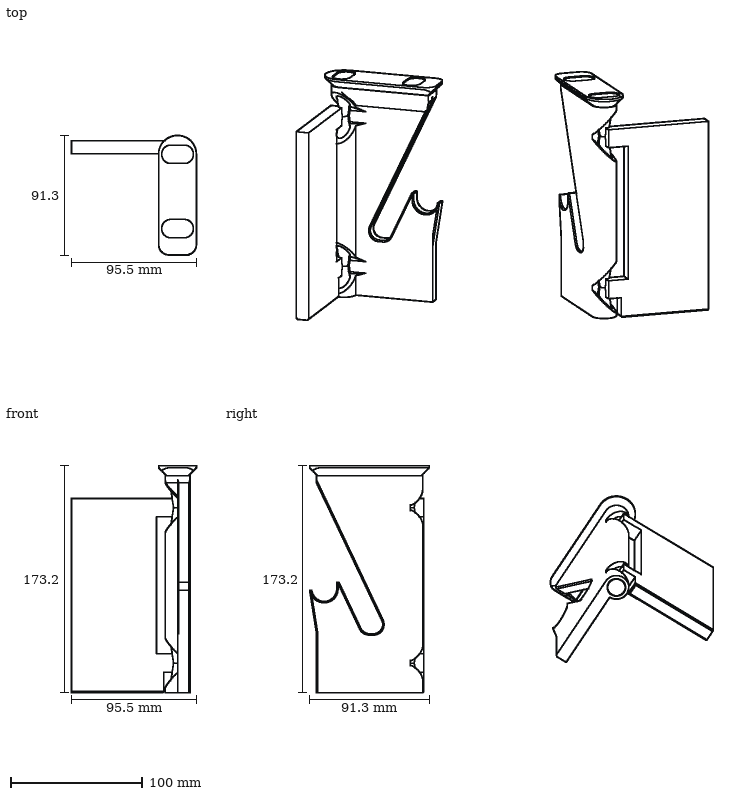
import cadquery as cq
import math


total_height = 173.2
edge_chamfer = 1.0

cap_radius = 14.47
cap_end_y = -76.84
cap_rim_height = 1.7
cap_height = 7.6
cap_corner_radius = 8.0
cap_bottom_z = total_height - cap_height

oval_length = 24.3
oval_width = 14.0
oval_depth = 0.9
oval_places_y = [0.0, -56.7]

barrel_radius = 9.5
pin_neck_radius = 3.03
pin_end_radius = 13.3 / 2
pin_clearance = 0.3
flange_clearance = 1.0

tab_height = 14.2
lower_tab_bottom_z = 15.6
tab_spacing = 118.5
lower_tab_middle_z = lower_tab_bottom_z + tab_height / 2
tab_middles_z = [lower_tab_middle_z, lower_tab_middle_z + tab_spacing]
pin_half_length = lower_tab_middle_z

plate_left_x = -81.0
plate_front_y = 0.3
plate_thickness = 10.0
plate_height = tab_middles_z[1] + tab_height / 2
window_left_x = -16.0
notch_left_x = -10.4

gap_half_height = 10.5
gap_turn = math.radians(20.0)
gap_reach = 52.0
flange_half_height = 4.5

arm_thickness = barrel_radius
arm_end_y = -71.5
flare_radius = 10.0
flare_bottom_z = 150.0

slot_radius = 14.0 / 2
slot_bottom_z = 45.0
slot_bottom_y = [-28.0, -31.4]
slot_tilt = math.radians(25.4)
slot_reach = 130.0

hook_radius = 9.5
hook_y = -65.7
hook_z = 79.2
hook_tip_z = 84.2
lip_tip_z = 78.3
lip_foot_z = slot_bottom_z


def hourglass(middle_z, gap):
    """Double cone around the hinge axis, wider than the pin by the given gap."""
    neck = pin_neck_radius + gap
    end = pin_end_radius + gap
    return (
        cq.Workplane("XZ")
        .moveTo(0, middle_z - pin_half_length)
        .lineTo(end, middle_z - pin_half_length)
        .lineTo(neck, middle_z)
        .lineTo(end, middle_z + pin_half_length)
        .lineTo(0, middle_z + pin_half_length)
        .close()
        .revolve(360, (0, 0, 0), (0, 1, 0))
    )


def plate():
    """Flat plate whose two tabs reach the hinge axis and carry the pins."""
    tab_bottom = lower_tab_bottom_z
    window_bottom = tab_bottom + tab_height
    window_top = plate_height - tab_height
    body = (
        cq.Workplane("XZ", origin=(0, plate_front_y, 0))
        .polyline(
            [
                (plate_left_x, 0),
                (notch_left_x, 0),
                (notch_left_x, tab_bottom),
                (0, tab_bottom),
                (0, window_bottom),
                (window_left_x, window_bottom),
                (window_left_x, window_top),
                (0, window_top),
                (0, plate_height),
                (plate_left_x, plate_height),
            ]
        )
        .close()
        .extrude(-plate_thickness)
    )
    body = body.faces("<Z").edges("|X or >X").chamfer(edge_chamfer)
    for middle_z in tab_middles_z:
        body = body.union(hourglass(middle_z, 0))
    return body


def cap_bar():
    """Upright bar with one round end, the outer shape of the cap."""
    return (
        cq.Workplane("XY", origin=(0, 0, cap_bottom_z))
        .moveTo(-cap_radius, 0)
        .threePointArc((0, cap_radius), (cap_radius, 0))
        .lineTo(cap_radius, cap_end_y)
        .lineTo(-cap_radius, cap_end_y)
        .close()
        .extrude(cap_height)
    )


def cap():
    """Bar with a sloped underside, rounded corners and two oval recesses."""
    sloped = cap_bar().faces("<Z").chamfer(cap_height - cap_rim_height)
    rounded = cap_bar().edges("|Z and <Y").fillet(cap_corner_radius)
    ovals = (
        cq.Workplane("XY", origin=(0, 0, total_height))
        .pushPoints([(0, y) for y in oval_places_y])
        .slot2D(oval_length, oval_width)
        .extrude(-oval_depth)
    )
    return sloped.intersect(rounded).cut(ovals)


def slot_outline(plane):
    """Tilted slot with a short flat bottom, running on upwards out of the arm."""
    near_y, far_y = slot_bottom_y
    centre_z = slot_bottom_z + slot_radius
    across = (slot_radius * math.cos(slot_tilt), slot_radius * math.sin(slot_tilt))
    along = (-slot_reach * math.sin(slot_tilt), slot_reach * math.cos(slot_tilt))
    near_side = (near_y + across[0], centre_z + across[1])
    far_side = (far_y - across[0], centre_z - across[1])
    near_angle = (slot_tilt - math.pi / 2) / 2
    far_angle = near_angle - math.pi / 2
    near_middle = (
        near_y + slot_radius * math.cos(near_angle),
        centre_z + slot_radius * math.sin(near_angle),
    )
    far_middle = (
        far_y + slot_radius * math.cos(far_angle),
        centre_z + slot_radius * math.sin(far_angle),
    )
    return (
        plane.moveTo(near_side[0] + along[0], near_side[1] + along[1])
        .lineTo(*near_side)
        .threePointArc(near_middle, (near_y, slot_bottom_z))
        .lineTo(far_y, slot_bottom_z)
        .threePointArc(far_middle, far_side)
        .lineTo(far_side[0] + along[0], far_side[1] + along[1])
        .close()
    )


def hook_outline(plane):
    """Round seat of the hook, open upwards."""
    hook_top_z = hook_tip_z + edge_chamfer
    return (
        plane.moveTo(hook_y + hook_radius, hook_top_z)
        .lineTo(hook_y + hook_radius, hook_z)
        .threePointArc((hook_y, hook_z - hook_radius), (hook_y - hook_radius, hook_z))
        .lineTo(hook_y - hook_radius, hook_top_z)
        .close()
    )


def chamfered_cut(arm_body, outline):
    """Cut an outline through the arm and chamfer both mouths of the cut."""
    flare_side_x = -2 * barrel_radius
    through = outline(cq.Workplane("YZ", origin=(flare_side_x, 0, 0))).extrude(
        arm_thickness - 2 * flare_side_x
    )
    mouths = [
        outline(cq.Workplane("YZ", origin=(face_x, 0, 0)))
        .offset2D(edge_chamfer, "intersection")
        .extrude(inward * edge_chamfer, taper=45)
        for face_x, inward in [(0, 1), (arm_thickness, -1)]
    ]
    for tool in [through, *mouths]:
        arm_body = arm_body.cut(tool)
    return arm_body


def arm():
    """Flat arm below the cap, with its slot and hook."""
    slot_middle_y = sum(slot_bottom_y) / 2
    middle_z = slot_bottom_z + slot_radius
    tip_y = slot_middle_y - (hook_tip_z - middle_z) * math.tan(slot_tilt)
    end_z = middle_z + (slot_middle_y - arm_end_y) / math.tan(slot_tilt)
    body = (
        cq.Workplane("YZ")
        .polyline(
            [
                (0, 0),
                (arm_end_y, 0),
                (arm_end_y, lip_foot_z),
                (cap_end_y, lip_tip_z),
                (hook_y, lip_tip_z),
                (hook_y, hook_tip_z),
                (tip_y, hook_tip_z),
                (arm_end_y, end_z),
                (arm_end_y, cap_bottom_z),
                (0, cap_bottom_z),
            ]
        )
        .close()
        .extrude(arm_thickness)
    )
    lip_middle = ((arm_end_y + cap_end_y) / 2, (lip_foot_z + lip_tip_z) / 2)
    for edge_point in [(0, *lip_middle), (arm_thickness, *lip_middle)]:
        body = body.edges(cq.NearestToPointSelector(edge_point)).chamfer(edge_chamfer)
    end_edge = cq.NearestToPointSelector((arm_thickness, arm_end_y, lip_foot_z / 2))
    body = body.edges(end_edge).chamfer(edge_chamfer)
    body = body.union(flare())
    for outline in [slot_outline, hook_outline]:
        body = chamfered_cut(body, outline)
    return body


def flare():
    """Widening of the arm up to the cap: a slope of 45 degrees rounded into an upright side."""
    turn = math.radians(45.0)
    corner_z = flare_bottom_z + barrel_radius
    tangent = flare_radius * math.tan(turn / 2)
    slope_end = tangent * math.sin(turn)
    arc_centre = (flare_radius - barrel_radius, corner_z + tangent)
    arc_middle = (
        arc_centre[0] - flare_radius * math.cos(turn / 2),
        arc_centre[1] - flare_radius * math.sin(turn / 2),
    )
    return (
        cq.Workplane("XZ")
        .moveTo(0, flare_bottom_z)
        .lineTo(slope_end - barrel_radius, corner_z - slope_end)
        .threePointArc(arc_middle, (-barrel_radius, corner_z + tangent))
        .lineTo(-barrel_radius, cap_bottom_z)
        .lineTo(0, cap_bottom_z)
        .close()
        .extrude(-arm_end_y)
    )


def tab_gap(middle_z):
    """Wedge-shaped gap around a tab, tapering into the arm."""
    point_x = gap_half_height
    mouth_x = -gap_reach
    mouth_half_height = gap_half_height + gap_reach
    wedge = (
        cq.Workplane("XZ", origin=(0, gap_reach, middle_z))
        .polyline([(point_x, 0), (mouth_x, mouth_half_height), (mouth_x, -mouth_half_height)])
        .close()
        .extrude(2 * gap_reach)
    )
    return wedge.rotate((0, 0, 0), (0, 0, 1), -math.degrees(gap_turn))


def pin_flange(middle_z):
    """Flange of the arm that reaches into the gap and clears the pin."""
    gap_point_y = gap_half_height / math.sin(gap_turn)
    root_half_height = flange_half_height + arm_thickness
    flange = (
        cq.Workplane("XZ", origin=(0, 0, middle_z))
        .polyline(
            [
                (0, flange_half_height),
                (0, -flange_half_height),
                (arm_thickness, -root_half_height),
                (arm_thickness, root_half_height),
            ]
        )
        .close()
        .extrude(gap_point_y)
    )
    return flange.cut(hourglass(middle_z, flange_clearance))


def bracket():
    """Arm, hinge barrel and cap in one piece, with gaps and sockets for the tabs and pins."""
    body = cq.Workplane("XY").circle(barrel_radius).extrude(cap_bottom_z)
    body = body.union(arm())
    for middle_z in tab_middles_z:
        body = body.cut(tab_gap(middle_z))
        body = body.cut(hourglass(middle_z, pin_clearance))
        body = body.union(pin_flange(middle_z))
    return body.union(cap())


result = cq.Compound.makeCompound([plate().val(), bracket().val()])